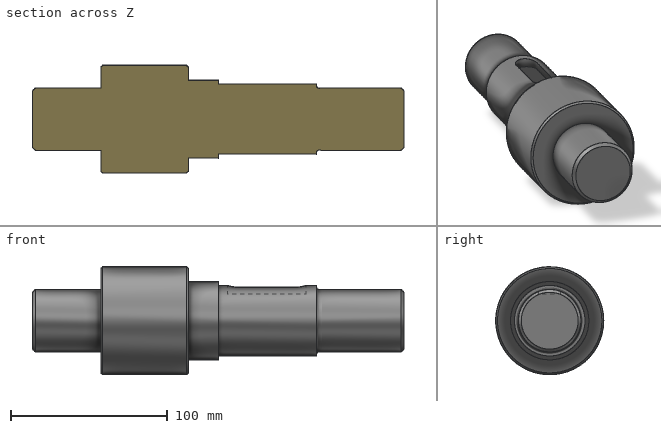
import cadquery as cq
import math

journal_diameter = 40.0
seat_diameter = 45.0
shoulder_diameter = 50.0
collar_diameter = 69.0

collar_start = 43.7
collar_end = 99.6
shoulder_end = 118.9
seat_end = 181.5
shaft_length = 237.2

journal_chamfer = 2.0
collar_chamfer = 1.2

relief_fillet = 1.5
relief_depth = 0.12
relief_end = 185.0

keyway_start = 124.5
keyway_length = 50.0
keyway_width = 14.0
keyway_depth = 5.5


def cylinder(start, end, diameter):
    """Solid cylinder on the X axis between two axial positions."""
    return cq.Workplane("YZ", origin=(start, 0, 0)).circle(diameter / 2).extrude(end - start)


def right_end():
    """Right journal with its relief, revolved about the X axis."""
    journal_radius = journal_diameter / 2
    relief_radius = journal_radius - relief_depth
    arc_offset = relief_fillet * (1 - math.sqrt(0.5))
    profile = (
        cq.Workplane("XY")
        .moveTo(seat_end, 0)
        .lineTo(seat_end, relief_radius + relief_fillet)
        .threePointArc(
            (seat_end + arc_offset, relief_radius + arc_offset),
            (seat_end + relief_fillet, relief_radius),
        )
        .lineTo(relief_end, journal_radius)
        .lineTo(shaft_length - journal_chamfer, journal_radius)
        .lineTo(shaft_length, journal_radius - journal_chamfer)
        .lineTo(shaft_length, 0)
        .close()
    )
    return profile.revolve(360, (0, 0, 0), (1, 0, 0))


left_journal = cylinder(0, collar_start, journal_diameter).faces("<X").chamfer(journal_chamfer)
collar = cylinder(collar_start, collar_end, collar_diameter).faces("<X or >X").chamfer(collar_chamfer)
shoulder = cylinder(collar_end, shoulder_end, shoulder_diameter)
seat = cylinder(shoulder_end, seat_end, seat_diameter)

shaft = left_journal.union(collar).union(shoulder).union(seat).union(right_end())

keyway = (
    cq.Workplane("XY", origin=(keyway_start + keyway_length / 2, 0, seat_diameter / 2 - keyway_depth))
    .slot2D(keyway_length, keyway_width)
    .extrude(seat_diameter / 2)
)

result = shaft.cut(keyway).translate((-shaft_length / 2, 0, 0))